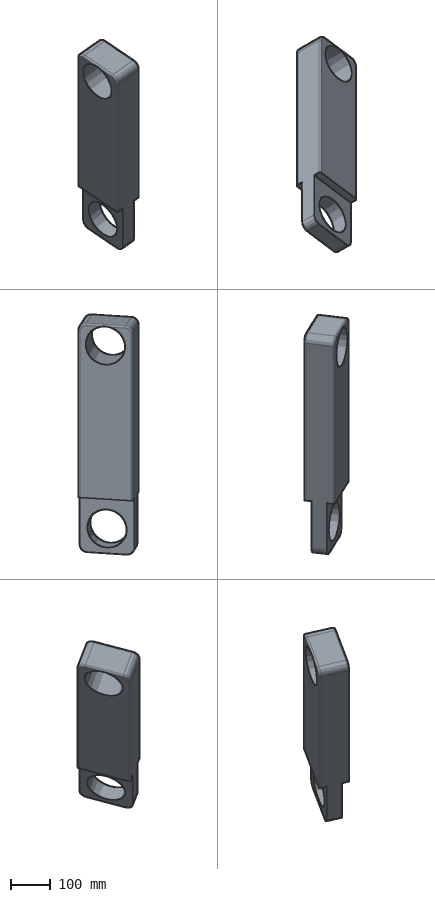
import cadquery as cq

length = 610.0
width = 140.0
body_depth = 80.0
tongue_depth = 40.0
tongue_length = 150.0
corner_radius = 20.0
edge_round = 5.0
hole_diameter = 100.0
lower_hole_height = 66.0
upper_hole_height = 555.0

body_length = length - tongue_length


def rounded_bar(bottom, height, depth, rounded_end):
    """Upright bar centred on X and Y, with both corners of one end rounded."""
    bar = cq.Workplane("XY").box(width, depth, height, centered=(True, True, False))
    bar = bar.edges(f"|Y and {rounded_end}Z").fillet(corner_radius)
    return bar.translate((0, 0, bottom))


def through_hole(height):
    """Cutter for a round hole running along Y through the full depth."""
    return (
        cq.Workplane("XZ", origin=(0, body_depth / 2, 0))
        .center(0, height)
        .circle(hole_diameter / 2)
        .extrude(body_depth)
    )


body = rounded_bar(tongue_length, body_length, body_depth, ">")
body = body.faces("<Y or >Y").edges("not <Z").fillet(edge_round)

tongue = rounded_bar(0, tongue_length, tongue_depth, "<")

result = body.union(tongue)
for hole_height in (lower_hole_height, upper_hole_height):
    result = result.cut(through_hole(hole_height))